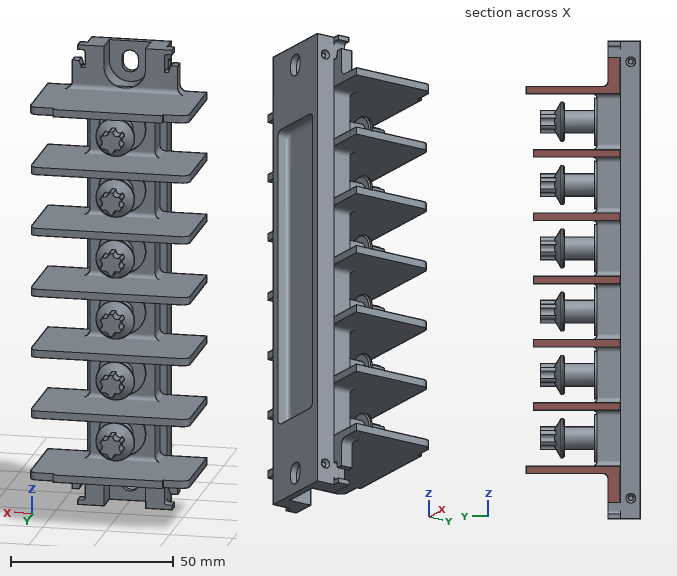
import cadquery as cq
import math

length = 147.2
half_length = length / 2
rail_width = 25.0
rail_depth = 6.2

fin_count = 7
fin_span = 117.0
fin_pitch = fin_span / (fin_count - 1)
fin_thickness = 2.4
fin_width = 50.0
fin_back = 33.0
fin_corner_radius = 2.4
end_fin_back = 33.9
tab_back = 35.2
tab_width = 34.5

body_width = 20.6
body_back = 13.4
body_side_fillet = 1.6
body_rear_fillet = 1.3

block_back = 10.0
block_side_fillet = 2.0
block_rear_fillet = 1.5
ear_half_width = 14.9
ear_thickness = 1.5
ear_fillet = 0.9
hook_half_width = 16.6
hook_tip_inner = 14.4
hook_tip_drop = 5.0
hook_step_half_width = 13.8
hook_step_drop = 7.2
hook_lead_in = 1.6

mount_drop = 6.5
slot_width = 5.2
slot_height = 6.9
channel_width = 13.1
channel_front = 2.2
dimple_drop = 6.3
dimple_y = 3.0
dimple_radius = 1.5
dimple_floor_radius = 0.7
dimple_depth = 1.0

recess_width = 19.7
recess_height = 96.9
recess_depth = 4.1
recess_corner_radius = 2.0
recess_floor_fillet = 1.2

washer_radius = 7.4
washer_back = 14.1
shank_radius = 3.5
flange_front = 23.4
flange_rim_back = 24.5
flange_bevel = 0.5
flange_radius = 6.0
head_cone_back = 26.5
head_back = 30.8
lobe_count = 6
lobe_root_radius = 2.6
groove_radius = 1.3


def box(width, y_front, y_back, z_low, z_high):
    """Box centred on X = 0 between the given Y and Z planes."""
    return cq.Workplane("XY").box(
        width, y_back - y_front, z_high - z_low, centered=(True, False, False)
    ).translate((0, y_front, z_low))


def along_y(y_start):
    """XZ sketch plane at y_start; its normal is -Y, so negative extrusions grow toward +Y."""
    return cq.Workplane("XZ", origin=(0, y_start, 0))


def fin(z_centre, back):
    """Barrier fin with rounded rear corners."""
    z_low = z_centre - fin_thickness / 2
    plate = box(fin_width, rail_depth, back, z_low, z_low + fin_thickness)
    return plate.edges("|Z and >Y").fillet(fin_corner_radius)


def end_fin(z_centre):
    """Deeper end fin carrying a wide locating tab on its rear edge."""
    z_low = z_centre - fin_thickness / 2
    tab = box(tab_width, rail_depth, tab_back, z_low, z_low + fin_thickness)
    return fin(z_centre, end_fin_back).union(tab)


def fillet_to(sketch, start, end, centre):
    """Continue an outline with the quarter arc about centre that runs from start to end."""
    radius = math.dist(start, centre)
    chord_mid = ((start[0] + end[0]) / 2, (start[1] + end[1]) / 2)
    reach = radius / math.dist(chord_mid, centre)
    arc_mid = tuple(c + reach * (m - c) for m, c in zip(chord_mid, centre))
    return sketch.lineTo(*start).threePointArc(arc_mid, end)


def bay_body():
    """Terminal body between two fins, flaring into both; centred on Z = 0."""
    half_gap = (fin_pitch - fin_thickness) / 2
    half_width = body_width / 2

    def flared_edge(sketch, offset, radius):
        """Straight edge at offset that curves outward at the lower and upper fin."""
        z_low = radius - half_gap
        centre = offset + radius
        sketch = fillet_to(sketch, (centre, -half_gap), (offset, z_low), (centre, z_low))
        return fillet_to(sketch, (offset, -z_low), (centre, half_gap), (centre, -z_low))

    side = flared_edge(along_y(rail_depth).moveTo(0, -half_gap), half_width, body_side_fillet)
    half = side.lineTo(0, half_gap).close().extrude(rail_depth - body_back - body_rear_fillet)
    rear = flared_edge(cq.Workplane("YZ").moveTo(0, -half_gap), body_back, body_rear_fillet)
    rear_limit = rear.lineTo(0, half_gap).close().extrude(rail_width / 2, both=True)
    return half.union(half.mirror("YZ")).intersect(rear_limit)


def end_block():
    """Upper end block: ears at the top, hooks rising from the end fin and flaring into it."""
    z_fin = (fin_span + fin_thickness) / 2
    z_side = z_fin + block_side_fillet
    z_rear = z_fin + block_rear_fillet
    z_tip = half_length - hook_tip_drop
    z_step = half_length - hook_step_drop
    z_ear = half_length - ear_thickness
    rail_half = rail_width / 2
    x_root = hook_half_width + block_side_fillet
    x_ear = rail_half + ear_fillet
    y_root = block_back + block_rear_fillet

    side = along_y(rail_depth).moveTo(0, z_fin)
    side = fillet_to(side, (x_root, z_fin), (hook_half_width, z_side), (x_root, z_side))
    side = (
        side.lineTo(hook_half_width, z_tip)
        .lineTo(hook_tip_inner, z_tip)
        .lineTo(hook_step_half_width, z_tip - hook_lead_in)
        .lineTo(hook_step_half_width, z_step)
        .lineTo(rail_half, z_step)
    )
    z_ear_root = z_ear - ear_fillet
    side = fillet_to(side, (rail_half, z_ear_root), (x_ear, z_ear), (x_ear, z_ear_root))
    side = side.lineTo(ear_half_width, z_ear).lineTo(ear_half_width, half_length)
    half = side.lineTo(0, half_length).close().extrude(rail_depth - y_root)

    rear = cq.Workplane("YZ").moveTo(0, z_fin)
    rear = fillet_to(rear, (y_root, z_fin), (block_back, z_rear), (y_root, z_rear))
    rear = rear.lineTo(block_back, half_length).lineTo(0, half_length).close()
    rear_limit = rear.extrude(fin_width / 2, both=True)
    return half.union(half.mirror("YZ")).intersect(rear_limit)


def label_recess():
    """Rounded pocket sunk into the front face."""
    pocket = box(recess_width, 0, recess_depth, -recess_height / 2, recess_height / 2)
    pocket = pocket.edges("|Y").fillet(recess_corner_radius)
    return pocket.faces(">Y").edges().fillet(recess_floor_fillet)


def upper_end_openings():
    """Slotted hole, open-ended channel behind it and the two side dimples."""
    z_mount = half_length - mount_drop
    slot = (
        along_y(0).center(0, z_mount)
        .slot2D(slot_height, slot_width, 90).extrude(-block_back)
    )
    channel = box(channel_width, channel_front, block_back, z_mount, half_length)
    channel_end = (
        along_y(channel_front).center(0, z_mount)
        .circle(channel_width / 2).extrude(channel_front - block_back)
    )
    cuts = slot.union(channel).union(channel_end)
    for side in (-1, 1):
        dimple = cq.Solid.makeCone(
            dimple_radius, dimple_floor_radius, dimple_depth,
            pnt=cq.Vector(side * rail_width / 2, dimple_y, half_length - dimple_drop),
            dir=cq.Vector(-side, 0, 0),
        )
        cuts = cuts.union(cq.Workplane(obj=dimple))
    return cuts


def screw():
    """Flanged screw with a six-lobed head and its washer, axis along Y through the origin."""
    profile = [
        (0, body_back),
        (washer_radius, body_back),
        (washer_radius, washer_back),
        (shank_radius, washer_back),
        (shank_radius, flange_front),
        (flange_radius - flange_bevel, flange_front),
        (flange_radius, flange_front + flange_bevel),
        (flange_radius, flange_rim_back),
        (lobe_root_radius, head_cone_back),
        (0, head_cone_back),
    ]
    turned = cq.Workplane("XY").polyline(profile).close().revolve()
    head = along_y(flange_front).circle(shank_radius).extrude(flange_front - head_back)
    grooves = (
        along_y(flange_front)
        .polarArray(lobe_root_radius + groove_radius, 0, 360, lobe_count)
        .circle(groove_radius).extrude(flange_front - head_back)
    )
    return turned.union(head.cut(grooves))


result = box(rail_width, 0, rail_depth, -half_length, half_length)

z_end_fin = fin_span / 2
for index in range(1, fin_count - 1):
    result = result.union(fin(index * fin_pitch - z_end_fin, fin_back))
for z_fin_centre in (-z_end_fin, z_end_fin):
    result = result.union(end_fin(z_fin_centre))

bay = bay_body().union(screw())
for index in range(fin_count - 1):
    result = result.union(bay.translate((0, 0, (index + 0.5) * fin_pitch - z_end_fin)))

block = end_block()
result = result.union(block).union(block.mirror("XY"))

openings = upper_end_openings()
result = result.cut(label_recess()).cut(openings).cut(openings.mirror("XY"))